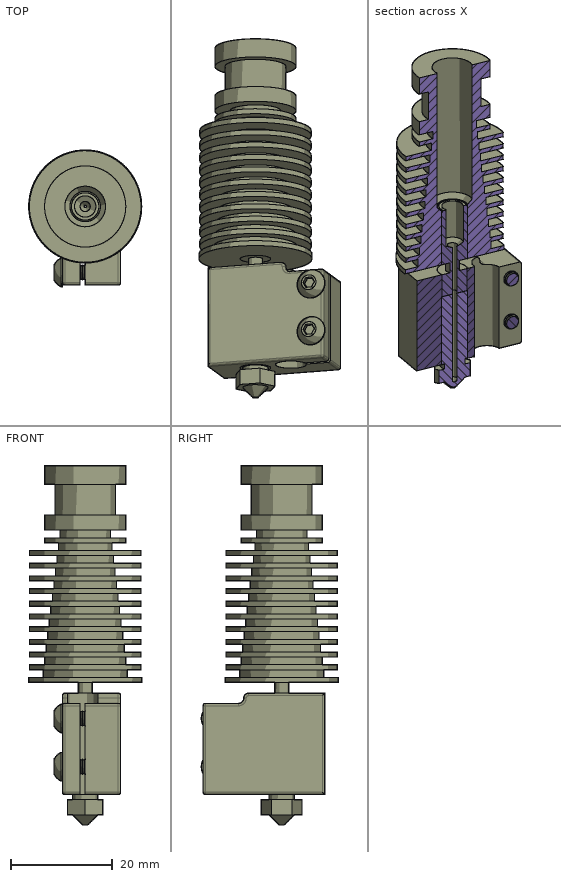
import cadquery as cq
import math


tip_diameter = 1.0
tip_cone_height = 2.0
hex_across_flats = 7.0
hex_height = 3.0
neck_diameter = 5.04
neck_height = 1.0
orifice_diameter = 0.4
orifice_length = 0.4
orifice_cone_half_angle = 30.0
filament_diameter = 2.0

block_left = -4.5
block_right = 7.0
block_front = -15.5
block_back = 8.5
block_height = 20.0
step_height = 2.0
step_y = -7.5
step_radius = 1.0
edge_radius = 0.5
heater_diameter = 6.04
heater_x = -0.5
heater_y = step_y
slot_width = 1.0

screw_y = -13.0
screw_drop = 3.0
screw_pitch = 9.5
screw_count = 2
screw_diameter = 3.0
screw_root_diameter = 2.53
screw_length = 10.0
thread_pitch = 0.5
crest_width = thread_pitch / 8
head_diameter = 5.7
head_height = 1.65
rim_height = 0.25
head_crown_diameter = 3.0
socket_across_flats = 2.0
socket_depth = 1.0
socket_turn = 30.0

thread_diameter = 6.0
break_gap = 2.1
break_neck_diameter = 2.8
break_depth_in_block = 5.0
break_depth_in_sink = 12.0
break_chamfer = 0.3
liner_diameter = 4.2
liner_depth = 8.0
drill_half_angle = 59.0

sink_height = 42.7
collar_diameter = 16.0
top_collar_height = 3.7
groove_diameter = 12.0
groove_height = 6.0
lower_collar_height = 3.0
fin_thickness = 1.0
fin_gap = 1.5
fin_diameter = 22.0
full_fin_count = 10
bottom_fin_diameter = 22.3
core_top_diameter = 10.0
core_step = 0.6
tube_bore_diameter = 8.0

hex_bottom = tip_cone_height
hex_top = hex_bottom + hex_height
block_bottom = hex_top + neck_height
block_top = block_bottom + block_height
step_top = block_top - step_height
sink_bottom = block_top + break_gap
sink_top = sink_bottom + sink_height
break_bottom = block_top - break_depth_in_block
break_top = sink_bottom + break_depth_in_sink

screw_levels = [step_top - screw_drop - i * screw_pitch for i in range(screw_count)]


def cylinder(diameter, bottom, top):
    return cq.Workplane("XY", origin=(0, 0, bottom)).circle(diameter / 2).extrude(top - bottom)


def revolve_profile(points):
    """Turns a closed outline of (radius, Z) points about the Z axis."""
    return cq.Workplane("XZ").polyline(points).close().revolve(360, (0, 0, 0), (0, 1, 0))


def cone_length(wide_diameter, narrow_diameter, half_angle):
    return (wide_diameter - narrow_diameter) / 2 / math.tan(math.radians(half_angle))


def make_heatsink():
    fin_diameters = [collar_diameter] + [fin_diameter] * full_fin_count + [bottom_fin_diameter]
    stack = [
        (collar_diameter, top_collar_height),
        (groove_diameter, groove_height),
        (collar_diameter, lower_collar_height),
    ]
    for i, diameter in enumerate(fin_diameters):
        stack.append((core_top_diameter + i * core_step, fin_gap))
        stack.append((diameter, fin_thickness))

    level = sink_top
    outline = [(0, level)]
    for diameter, height in stack:
        outline.append((diameter / 2, level))
        level -= height
        outline.append((diameter / 2, level))
    outline.append((0, level))

    seat_top = break_top + (tube_bore_diameter - thread_diameter) / 2
    bore = revolve_profile([
        (0, sink_bottom),
        (thread_diameter / 2, sink_bottom),
        (thread_diameter / 2, break_top),
        (tube_bore_diameter / 2, seat_top),
        (tube_bore_diameter / 2, sink_top),
        (0, sink_top),
    ])
    return revolve_profile(outline).cut(bore)


def make_heat_break():
    in_block = cylinder(thread_diameter, break_bottom, block_top)
    neck = cylinder(break_neck_diameter, block_top, sink_bottom)
    in_sink = cylinder(thread_diameter, sink_bottom, break_top).faces(">Z").edges().chamfer(break_chamfer)

    liner_bottom = break_top - liner_depth
    filament_top = liner_bottom - cone_length(liner_diameter, filament_diameter, drill_half_angle)
    bore = revolve_profile([
        (0, break_bottom),
        (filament_diameter / 2, break_bottom),
        (filament_diameter / 2, filament_top),
        (liner_diameter / 2, liner_bottom),
        (liner_diameter / 2, break_top),
        (0, break_top),
    ])
    return in_sink.union(neck).union(in_block).cut(bore)


def make_screw(level):
    """Button-head screw along +X, its head resting on the left face of the block."""
    crown_radius = head_crown_diameter / 2
    head_radius = head_diameter / 2
    dome_height = head_height - rim_height
    dome_offset = (head_radius**2 - crown_radius**2 - dome_height**2) / (2 * dome_height)
    dome_radius = math.hypot(head_radius, dome_offset)
    middle_height = dome_height / 2
    middle_radius = math.sqrt(dome_radius**2 - (dome_offset + middle_height) ** 2)

    axis = cq.Workplane("XY", origin=(block_left, screw_y, level))
    outline = (
        axis.moveTo(-head_height, 0)
        .lineTo(-head_height, crown_radius)
        .threePointArc((-rim_height - middle_height, middle_radius), (-rim_height, head_radius))
        .lineTo(0, head_radius)
        .lineTo(0, screw_diameter / 2)
    )
    groove_width = thread_pitch - crest_width
    for turn in range(round(screw_length / thread_pitch)):
        groove_start = turn * thread_pitch
        outline = (
            outline.lineTo(groove_start + groove_width / 2, screw_root_diameter / 2)
            .lineTo(groove_start + groove_width, screw_diameter / 2)
            .lineTo(groove_start + thread_pitch, screw_diameter / 2)
        )
    body = outline.lineTo(screw_length, 0).close().revolve(360, (0, 0, 0), (1, 0, 0))
    socket = (
        cq.Workplane("YZ", origin=(block_left - head_height, screw_y, level))
        .transformed(rotate=(0, 0, socket_turn))
        .polygon(6, socket_across_flats, circumscribed=True)
        .extrude(socket_depth)
    )
    return body.cut(socket)


def make_block():
    side = (
        cq.Workplane("YZ", origin=(block_left, 0, 0))
        .moveTo(block_back, block_bottom)
        .lineTo(block_back, block_top)
        .lineTo(step_y + step_radius, block_top)
        .radiusArc((step_y, block_top - step_radius), -step_radius)
        .radiusArc((step_y - step_radius, step_top), step_radius)
        .lineTo(block_front, step_top)
        .lineTo(block_front, block_bottom)
        .close()
    )
    block = side.extrude(block_right - block_left)
    block = block.faces("<X or >X or <Y").edges().fillet(edge_radius)

    block = block.cut(cylinder(thread_diameter, block_bottom, block_top))
    heater_bore = cylinder(heater_diameter, block_bottom, block_top).translate((heater_x, heater_y, 0))
    slot_length = heater_y - block_front
    slot = cq.Workplane("XY").box(slot_width, slot_length, block_height, centered=(True, False, False))
    block = block.cut(heater_bore).cut(slot.translate((heater_x, block_front, block_bottom)))
    for level in screw_levels:
        hole = cq.Workplane("YZ", origin=(block_left, screw_y, level)).circle(screw_diameter / 2)
        block = block.cut(hole.extrude(screw_length))
    return block


def make_nozzle():
    cone_base = tip_diameter + 2 * tip_cone_height
    cone = revolve_profile([(0, 0), (tip_diameter / 2, 0), (cone_base / 2, hex_bottom), (0, hex_bottom)])
    hexagon = (
        cq.Workplane("XY", origin=(0, 0, hex_bottom))
        .polygon(6, hex_across_flats, circumscribed=True)
        .extrude(hex_height)
    )
    neck = cylinder(neck_diameter, hex_top, block_bottom)
    thread = cylinder(thread_diameter, block_bottom, break_bottom)

    cone_top = orifice_length + cone_length(filament_diameter, orifice_diameter, orifice_cone_half_angle)
    bore = revolve_profile([
        (0, 0),
        (orifice_diameter / 2, 0),
        (orifice_diameter / 2, orifice_length),
        (filament_diameter / 2, cone_top),
        (filament_diameter / 2, break_bottom),
        (0, break_bottom),
    ])
    return cone.union(hexagon).union(neck).union(thread).cut(bore)


heatsink = make_heatsink()
heat_break = make_heat_break()
heater_block = make_block()
nozzle = make_nozzle()
screws = [make_screw(level) for level in screw_levels]

result = cq.Compound.makeCompound(
    [heatsink.val(), heat_break.val(), heater_block.val(), nozzle.val(), *[screw.val() for screw in screws]]
)